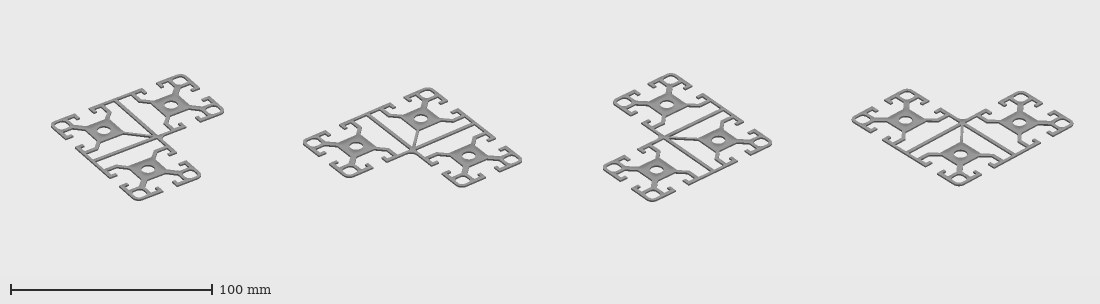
import cadquery as cq
import math

length = 80.0
thickness = 1.0
cell = length / 2
half_cell = cell / 2
corner_radius = 3.7
bore_diameter = 6.8

slot_opening = 8.2
slot_width = 19.9
lip_thickness = 2.1
hook_width = 1.8
hook_depth = 4.6
core_width = 15.1
slot_floor_width = 10.9

outer_wall = 1.6
inner_web = 1.8
slot_web = 1.9
chamber_floor_width = 13.9
rib_thickness = 1.4
pocket_size = 6.7
pocket_radius = 2.4

half_core = core_width / 2
cut_height = 2 * thickness

top_cell = (half_cell, length - half_cell)
corner_cell = (half_cell, half_cell)
right_cell = (length - half_cell, half_cell)

UP, LEFT, DOWN, RIGHT = 0, 90, 180, 270
slots = [
    (top_cell, (UP, LEFT, RIGHT)),
    (corner_cell, (LEFT, DOWN)),
    (right_cell, (UP, DOWN, RIGHT)),
]
outer_corners = [(0, 0), (length, 0), (length, cell), (cell, length), (0, length)]


def prism(points):
    """Cutting prism through the full thickness."""
    return cq.Workplane("XY").polyline(points).close().extrude(cut_height, both=True)


def swap_axes(points):
    """Mirror points across the diagonal of the L."""
    return [(y, x) for x, y in points]


def make_blank():
    """Solid L-shaped plate with every corner rounded."""
    outline = [(0, 0), (length, 0), (length, cell), (cell, cell), (cell, length), (0, length)]
    blank = cq.Workplane("XY").polyline(outline).close().extrude(thickness)
    return blank.edges("|Z").fillet(corner_radius)


def make_slot(centre, angle):
    """T-slot with bevelled floor corners and hooked lips."""
    half_opening = slot_opening / 2
    half_slot = slot_width / 2
    half_floor = slot_floor_width / 2
    bevel_top = half_core + half_slot - half_floor
    lip_under = half_cell - lip_thickness
    hook_end = half_cell - hook_depth
    hook_side = half_opening + hook_width
    right_side = [
        (half_floor, half_core),
        (half_slot, bevel_top),
        (half_slot, lip_under),
        (hook_side, lip_under),
        (hook_side, hook_end),
        (half_opening, hook_end),
        (half_opening, half_cell),
    ]
    left_side = [(-x, y) for x, y in reversed(right_side)]
    slot = prism(right_side + left_side)
    return slot.rotate((0, 0, 0), (0, 0, 1), angle).translate((*centre, 0))


def make_corner_pocket(corner):
    """Rounded square pocket beside an outer corner of the L."""
    inset = outer_wall + pocket_size / 2
    x, y = [c + inset if c == 0 else c - inset for c in corner]
    pocket = cq.Workplane("XY").rect(pocket_size, pocket_size).extrude(cut_height, both=True)
    return pocket.edges("|Z").fillet(pocket_radius).translate((x, y, 0))


chamber_floor = chamber_floor_width / 2
chamber_rise = half_cell - slot_width / 2 - slot_web
chamber_bevel = half_cell - half_core - chamber_rise
chamber_shoulder = chamber_floor + chamber_bevel


def end_chamber():
    """Chamber between the inner web and the core of the top cell."""
    shoulder_y = cell + chamber_rise
    core_y = cell + half_cell - half_core
    return [
        (outer_wall, cell),
        (cell - outer_wall, cell),
        (cell - outer_wall, shoulder_y),
        (half_cell + chamber_shoulder, shoulder_y),
        (half_cell + chamber_floor, core_y),
        (half_cell - chamber_floor, core_y),
        (half_cell - chamber_shoulder, shoulder_y),
        (outer_wall, shoulder_y),
    ]


def corner_chamber():
    """Chamber of the corner cell, above its core and beside the diagonal rib."""
    rib_offset = rib_thickness / math.sqrt(2)
    web_y = cell - inner_web
    shoulder_y = cell - chamber_rise
    core_y = half_cell + half_core
    return [
        (outer_wall, web_y),
        (web_y - rib_offset, web_y),
        (core_y - rib_offset, core_y),
        (half_cell - chamber_floor, core_y),
        (half_cell - chamber_shoulder, shoulder_y),
        (outer_wall, shoulder_y),
    ]


result = make_blank()

for centre, angles in slots:
    for angle in angles:
        result = result.cut(make_slot(centre, angle))

for corner in outer_corners:
    result = result.cut(make_corner_pocket(corner))

for chamber in (end_chamber(), corner_chamber()):
    result = result.cut(prism(chamber))
    result = result.cut(prism(swap_axes(chamber)))

for centre in (top_cell, corner_cell, right_cell):
    bore = cq.Workplane("XY").circle(bore_diameter / 2).extrude(cut_height, both=True)
    result = result.cut(bore.translate((*centre, 0)))